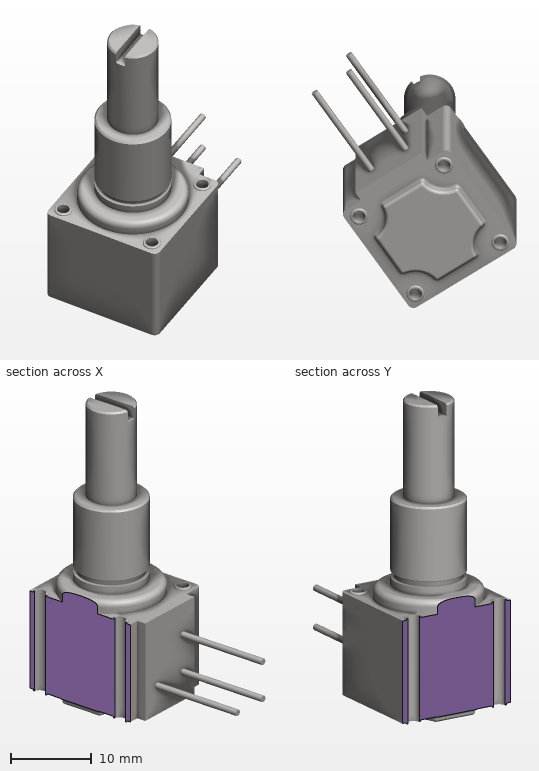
import cadquery as cq
body_side = 15.875
body_height = 13.35
body_corner_radius = 0.76
tab_width = 9.8
tab_depth = 1.27

flange_diameter = 13.8
flange_height = 1.7
flange_edge_radius = 0.8
collar_diameter = 9.525
collar_height = 1.05
neck_diameter = 8.6
neck_height = 0.83
bushing_diameter = collar_diameter
bushing_height = 9.525
shaft_diameter = 6.35
shaft_height = 12.7
edge_chamfer = 0.22

slot_width = 1.3
slot_depth = 1.6

rivet_offset = 6.3
rivet_head_diameter = 2.2
rivet_head_height = 0.22
rivet_head_edge_radius = 0.2
rivet_bore_diameter = 1.6

pad_side = 12.2
pad_height = 0.86
pad_scoop_radius = 3.3
pad_corner_radius = 0.3
pad_edge_radius = 0.42
pad_root_radius = 0.42

lead_diameter = 0.85
lead_length = 12.7
lead_pitch = 5.08
upper_lead_z = -4.29

body_bottom = -body_height
tab_face_y = body_side / 2 + tab_depth
selection_margin = 0.01

rivet_span = 2 * rivet_offset


def make_body():
    """Block with rounded upright edges and a terminal tab on its +Y side."""
    block = cq.Workplane("XY").box(body_side, body_side, body_height, centered=(True, True, False))
    block = block.edges("|Z").fillet(body_corner_radius)
    tab = cq.Workplane("XY").box(tab_width, tab_face_y, body_height, centered=(True, False, False))
    return block.union(tab).translate((0, 0, body_bottom))


def disc(diameter, height, base_z):
    """Upright cylinder on the Z axis."""
    return cq.Workplane("XY").workplane(offset=base_z).circle(diameter / 2).extrude(height)


def make_turned_stack():
    """Flange, collar, neck, bushing and slotted shaft."""
    collar_z = flange_height
    neck_z = collar_z + collar_height
    bushing_z = neck_z + neck_height
    shaft_z = bushing_z + bushing_height
    shaft_top = shaft_z + shaft_height

    stack = disc(flange_diameter, flange_height, 0).faces(">Z").edges().fillet(flange_edge_radius)
    stack = stack.union(disc(collar_diameter, collar_height, collar_z))
    stack = stack.union(disc(neck_diameter, neck_height, neck_z))
    bushing = disc(bushing_diameter, bushing_height, bushing_z)
    stack = stack.union(bushing.faces(">Z").chamfer(edge_chamfer))
    shaft = disc(shaft_diameter, shaft_height, shaft_z)
    stack = stack.union(shaft.faces(">Z").chamfer(edge_chamfer))
    slot = cq.Workplane("XY").box(slot_width, shaft_diameter, slot_depth)
    return stack.cut(slot.translate((0, 0, shaft_top - slot_depth / 2)))


def add_pad(body):
    """Square pad scooped at each corner, with a rounded lower edge and a filleted root."""
    pad = cq.Workplane("XY").rect(pad_side, pad_side).extrude(-pad_height)
    scoops = (
        cq.Workplane("XY")
        .rect(rivet_span, rivet_span, forConstruction=True)
        .vertices()
        .circle(pad_scoop_radius)
        .extrude(-pad_height)
    )
    pad = pad.cut(scoops).edges("|Z").fillet(pad_corner_radius)
    pad = pad.faces("<Z").edges().fillet(pad_edge_radius)
    body = body.union(pad.translate((0, 0, body_bottom)))
    reach = pad_side / 2 + selection_margin
    root_edges = cq.selectors.BoxSelector(
        (-reach, -reach, body_bottom - selection_margin),
        (reach, reach, body_bottom + selection_margin),
        boundingbox=True,
    )
    return body.edges(root_edges).fillet(pad_root_radius)


def add_rivets(part):
    """Heads on the top and bottom faces, with a bore right through."""
    head = disc(rivet_head_diameter, rivet_head_height, 0).faces(">Z").edges().fillet(rivet_head_edge_radius)
    lower_head = head.mirror("XY").translate((0, 0, body_bottom))
    bore_bottom = body_bottom - rivet_head_height
    bore_length = body_height + 2 * rivet_head_height
    bore = disc(rivet_bore_diameter, bore_length, bore_bottom)
    for x in (-rivet_offset, rivet_offset):
        for y in (-rivet_offset, rivet_offset):
            part = part.union(head.translate((x, y, 0)))
            part = part.union(lower_head.translate((x, y, 0)))
            part = part.cut(bore.translate((x, y, 0)))
    return part


def add_leads(part):
    """Two leads on the -X side and one lower lead on the +X side."""
    left_x = -lead_pitch / 2
    right_x = lead_pitch / 2
    lower_lead_z = upper_lead_z - lead_pitch
    lead = cq.Workplane("XZ").circle(lead_diameter / 2).extrude(-lead_length)
    for x, z in ((left_x, upper_lead_z), (left_x, lower_lead_z), (right_x, lower_lead_z)):
        part = part.union(lead.translate((x, tab_face_y, z)))
    return part


result = add_pad(make_body())
result = result.union(make_turned_stack())
result = add_rivets(result)
result = add_leads(result)